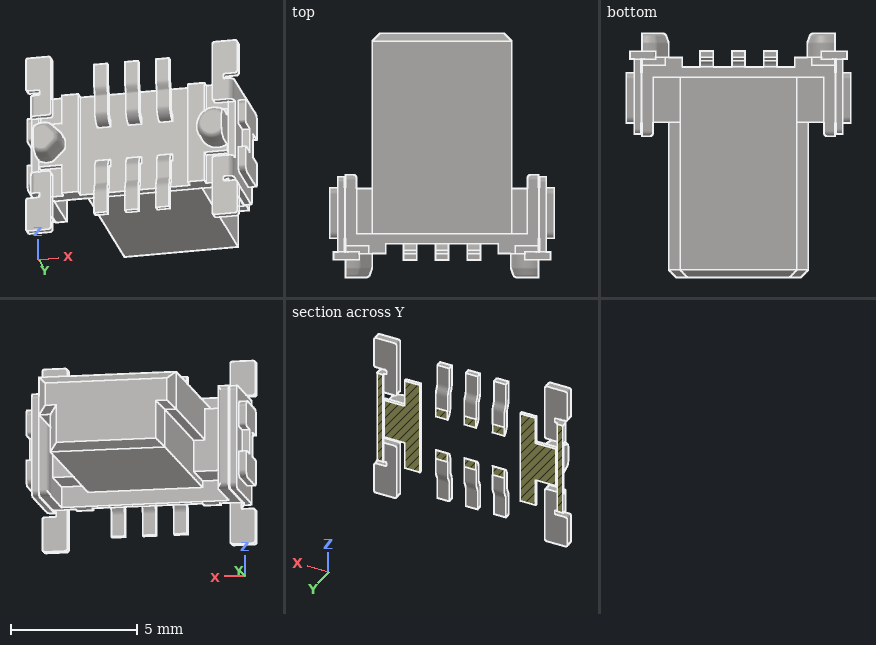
import cadquery as cq
import math


LENGTH_Y = 9.68
HALF_HEIGHT = 2.09
HOUSING_HALF_WIDTH = 3.82
HOUSING_FRONT = 0.96
HOUSING_BACK = 1.74
RECESS_HALF_WIDTH = 2.23
RECESS_FLOOR = 1.34
ARM_INNER = 3.38
ARM_BACK = 4.085
ARM_CORNER_RADIUS = 0.21
ARM_EDGE_RADIUS = 0.15
POCKET_INNER_X = 2.9
POCKET_INNER_Z = 0.89
POCKET_FLOOR = 1.27

PLUG_HALF_WIDTH = 2.77
PLUG_HALF_HEIGHT = 1.52
PLUG_STEP = 0.455
PLUG_CHAMFER = 0.31
SHOULDER_BACK = 3.53
SHOULDER_HALF_HEIGHT = 1.26

PLATE_GAP = 0.03
PLATE_OUTER = 4.13
PLATE_BACK = 4.0
PLATE_CORNER_RADIUS = 0.21
FOOT_FRONT = 0.71
FOOT_BACK = 1.03
FOOT_INNER_X = 3.28
FOOT_OUTER_X = 4.3
FOOT_BASE_Z = 1.2
FOOT_TIP_Z = 3.7
FOOT_CORNER_RADIUS = 0.11
FOOT_BASE_RADIUS = 0.1
BEND_RADIUS = 0.2
NOTCH_TOP_Z = 2.29
NOTCH_END_X = 3.74
NOTCH_END_RADIUS = 0.06
SELECT_MARGIN = 0.01

RIVET_OUTER = 4.44
RIVET_FRONT = 1.56
RIVET_BACK = 3.56
RIVET_HALF_HEIGHT = 1.55
RIVET_NOTCH_HALF_HEIGHT = 0.49
RIVET_WEB_FRONT = 2.28
RIVET_WEB_BACK = 2.86
RIVET_OUTER_RADIUS = 0.25
RIVET_INNER_RADIUS = 0.12

PIN_X = 3.46
PIN_RADIUS = 0.74
PIN_FLAT_OFFSET = 0.65
PIN_NOSE_OFFSET = 0.7
PIN_EDGE_RADIUS = 0.19
PIN_TAPER_LENGTH = 0.38
PIN_TAPER_ANGLE = 19.0
PIN_BLEND_RADIUS = 0.19

CONTACT_PITCH = 1.26
CONTACT_WIDTH = 0.53
CONTACT_THICKNESS = 0.25
CONTACT_TIP_Z = 3.175
CONTACT_ROOT_RADIUS = 0.4
CONTACT_ROOT_Y = 1.36
CONTACT_ROOT_END_Z = 1.24
JOG_START_Z = 1.85
JOG_FIRST_RADIUS = 0.32
JOG_SECOND_RADIUS = 0.49
JOG_STRAIGHT_RISE = 0.09
JOG_ANGLE = math.radians(27.0)
CONTACT_EMBED = 0.1


def block(x_range, y_range, z_range):
    """Box between two limits on each axis."""
    sizes = [high - low for low, high in (x_range, y_range, z_range)]
    corner = (x_range[0], y_range[0], z_range[0])
    return cq.Workplane("XY").box(*sizes, centered=False).translate(corner)


def both_sides(right_half):
    """Solid on the +X side together with its mirror image."""
    return right_half.union(right_half.mirror("YZ"))


def above_and_below(upper_half):
    """Solid on the +Z side together with its mirror image."""
    return upper_half.union(upper_half.mirror("XY"))


def make_housing():
    full_height = (-HALF_HEIGHT, HALF_HEIGHT)
    wall = block((-HOUSING_HALF_WIDTH, HOUSING_HALF_WIDTH), (HOUSING_FRONT, HOUSING_BACK), full_height)
    recess = block((-RECESS_HALF_WIDTH, RECESS_HALF_WIDTH), (HOUSING_FRONT, RECESS_FLOOR), full_height)
    pocket = block(
        (POCKET_INNER_X, HOUSING_HALF_WIDTH), (HOUSING_FRONT, POCKET_FLOOR), (POCKET_INNER_Z, HALF_HEIGHT)
    )
    arm = block((ARM_INNER, HOUSING_HALF_WIDTH), (HOUSING_BACK, ARM_BACK), full_height)
    rounded_corners = arm.edges("|X and >Y").fillet(ARM_CORNER_RADIUS)
    rounded_inner_edge = arm.edges("|Z and >Y and <X").fillet(ARM_EDGE_RADIUS)
    arm = rounded_corners.intersect(rounded_inner_edge)
    return wall.cut(recess).cut(both_sides(above_and_below(pocket))).union(both_sides(arm))


def make_plug():
    """Plug block, narrower below mid-height, with its end face chamfered all round."""
    y_range = (HOUSING_BACK, LENGTH_Y)
    narrow = PLUG_HALF_WIDTH - PLUG_STEP
    upper = block((-PLUG_HALF_WIDTH, PLUG_HALF_WIDTH), y_range, (0, PLUG_HALF_HEIGHT))
    lower = block((-narrow, narrow), y_range, (-PLUG_HALF_HEIGHT, 0))
    shoulder = block(
        (narrow, ARM_INNER), (HOUSING_BACK, SHOULDER_BACK), (-SHOULDER_HALF_HEIGHT, SHOULDER_HALF_HEIGHT)
    )
    plug = upper.union(lower).faces(">Y").chamfer(PLUG_CHAMFER)
    return plug.union(both_sides(shoulder))


def make_foot():
    """Upper right solder foot, bent inwards from the plate."""
    y_range = (FOOT_FRONT, FOOT_BACK)
    foot = block((FOOT_INNER_X, FOOT_OUTER_X), y_range, (NOTCH_TOP_Z, FOOT_TIP_Z))
    foot = foot.edges("|Y").edges(">X or >Z").fillet(FOOT_CORNER_RADIUS)
    neck = block((FOOT_INNER_X, NOTCH_END_X), y_range, (HALF_HEIGHT, NOTCH_TOP_Z))
    base = block((FOOT_INNER_X, PLATE_OUTER), y_range, (FOOT_BASE_Z, HALF_HEIGHT))
    base = base.edges("|Y and <X and <Z").fillet(FOOT_BASE_RADIUS)
    base = base.edges("|Z and >X and <Y").fillet(BEND_RADIUS)
    foot = foot.union(neck).union(base)
    around_notch_end = cq.selectors.BoxSelector(
        (NOTCH_END_X - SELECT_MARGIN, FOOT_FRONT, HALF_HEIGHT - SELECT_MARGIN),
        (NOTCH_END_X + SELECT_MARGIN, FOOT_BACK, NOTCH_TOP_Z + SELECT_MARGIN),
    )
    return foot.edges("|Y").edges(around_notch_end).fillet(NOTCH_END_RADIUS)


def make_side_plate():
    """Right side plate standing clear of the arm, with its two feet."""
    plate = block(
        (HOUSING_HALF_WIDTH + PLATE_GAP, PLATE_OUTER), (FOOT_BACK, PLATE_BACK), (-HALF_HEIGHT, HALF_HEIGHT)
    )
    plate = plate.edges("|X and >Y").fillet(PLATE_CORNER_RADIUS)
    return plate.union(above_and_below(make_foot()))


def make_rivet():
    """H-shaped rivet from the right arm, through the plate."""
    x_range = (HOUSING_HALF_WIDTH, RIVET_OUTER)
    web = block(
        x_range, (RIVET_WEB_FRONT, RIVET_WEB_BACK), (-RIVET_NOTCH_HALF_HEIGHT, RIVET_NOTCH_HALF_HEIGHT)
    )
    pad = block(x_range, (RIVET_FRONT, RIVET_BACK), (RIVET_NOTCH_HALF_HEIGHT, RIVET_HALF_HEIGHT))
    pad = pad.edges("|X and >Z").fillet(RIVET_OUTER_RADIUS)
    pad = pad.edges("|X and <Z").fillet(RIVET_INNER_RADIUS)
    return web.union(above_and_below(pad))


def pin_profile(reach):
    """Half section of a pin: straight side, tapered end, both corners rounded."""
    taper = math.radians(PIN_TAPER_ANGLE)
    tip_reach = reach - PIN_TAPER_LENGTH * math.tan(taper)
    tip_tangent = PIN_BLEND_RADIUS * math.tan((math.pi / 2 - taper) / 2)
    side_tangent = PIN_BLEND_RADIUS * math.tan(taper / 2)

    def along_taper(distance):
        return (tip_reach + distance * math.sin(taper), distance * math.cos(taper))

    taper_end = PIN_TAPER_LENGTH / math.cos(taper) - side_tangent
    return (
        cq.Workplane("XY")
        .lineTo(tip_reach - tip_tangent, 0)
        .tangentArcPoint(along_taper(tip_tangent), relative=False)
        .lineTo(*along_taper(taper_end))
        .tangentArcPoint((reach, PIN_TAPER_LENGTH + side_tangent), relative=False)
        .lineTo(reach, POCKET_FLOOR)
        .lineTo(0, POCKET_FLOOR)
        .close()
    )


def make_round_pin():
    return pin_profile(PIN_RADIUS).revolve(360, (0, 0, 0), (0, 1, 0))


def make_wedge_pin():
    """Round pin with a blunt nose between two flats at 45 degrees, all tapered alike."""
    pin = make_round_pin()
    reach = 2 * PIN_RADIUS
    behind = block((-reach, 0), (0, POCKET_FLOOR), (-reach, reach))
    for angle, offset in ((-45, PIN_FLAT_OFFSET), (0, PIN_NOSE_OFFSET), (45, PIN_FLAT_OFFSET)):
        keep = behind.union(pin_profile(offset).extrude(reach, both=True))
        pin = pin.intersect(keep.rotate((0, 0, 0), (0, 1, 0), angle))
    return pin.edges("|Y").edges(">X or >Z or <Z").fillet(PIN_EDGE_RADIUS)


def make_pins():
    """Both pins, cut off flush with the ends of the housing."""
    limits = block(
        (-HOUSING_HALF_WIDTH, HOUSING_HALF_WIDTH), (0, POCKET_FLOOR), (-PIN_RADIUS, PIN_RADIUS)
    )
    round_pin = make_round_pin().translate((PIN_X, 0, 0))
    wedge_pin = make_wedge_pin().translate((-PIN_X, 0, 0))
    return round_pin.union(wedge_pin).intersect(limits)


def make_contact(x):
    """Upper contact: curves out of the housing, then jogs forward to its solder tip."""
    leg_y = CONTACT_ROOT_Y - CONTACT_ROOT_RADIUS
    root_z = CONTACT_ROOT_END_Z - CONTACT_ROOT_RADIUS
    sine = math.sin(JOG_ANGLE)
    drop = 1 - math.cos(JOG_ANGLE)
    first_end = (leg_y - JOG_FIRST_RADIUS * drop, JOG_START_Z + JOG_FIRST_RADIUS * sine)
    second_start = (first_end[0] - JOG_STRAIGHT_RISE * math.tan(JOG_ANGLE), first_end[1] + JOG_STRAIGHT_RISE)
    tip_y = second_start[0] - JOG_SECOND_RADIUS * drop
    path = (
        cq.Workplane("YZ", origin=(x, 0, 0))
        .moveTo(CONTACT_ROOT_Y + CONTACT_EMBED, root_z)
        .lineTo(CONTACT_ROOT_Y, root_z)
        .tangentArcPoint((leg_y, CONTACT_ROOT_END_Z), relative=False)
        .lineTo(leg_y, JOG_START_Z)
        .tangentArcPoint(first_end, relative=False)
        .lineTo(*second_start)
        .tangentArcPoint((tip_y, second_start[1] + JOG_SECOND_RADIUS * sine), relative=False)
        .lineTo(tip_y, CONTACT_TIP_Z)
    )
    section = cq.Workplane("XZ", origin=(x, CONTACT_ROOT_Y + CONTACT_EMBED, root_z))
    return section.rect(CONTACT_WIDTH, CONTACT_THICKNESS).sweep(path)


result = make_housing().union(make_plug()).union(make_pins())
result = result.union(both_sides(make_side_plate().union(make_rivet())))
for column in (-1, 0, 1):
    result = result.union(above_and_below(make_contact(column * CONTACT_PITCH)))